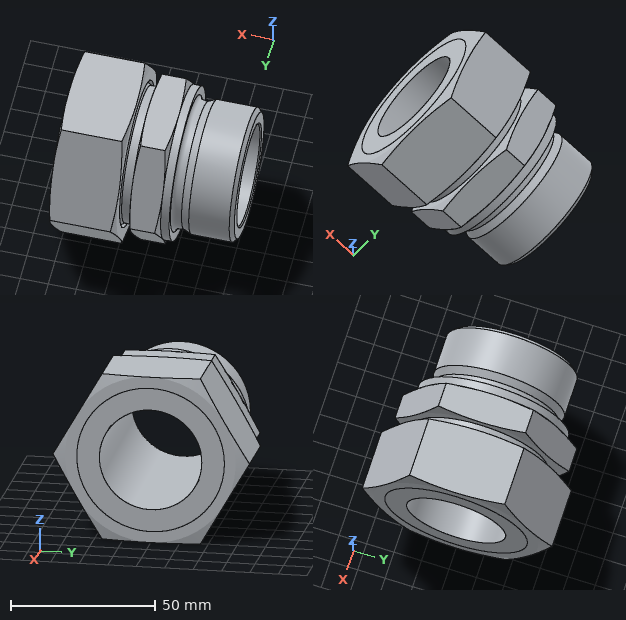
import cadquery as cq
import math


groove_cone_start = 15.85
groove_start = 18.7
flange_start = 21.95
hex_start = 25.0
hex_end = 36.0
thread_chamfer_start = 39.6
nut_start = 40.0
nut_end = 64.0

bore_radius = 18.0
bore_chamfer = 0.5
stud_radius = 23.9
stud_chamfer = 1.45
groove_radius = 22.7
groove_fillet = 1.8
dish_radius = 26.6
dish_angle = 8.0
neck_radius = 24.3
thread_radius = 26.0
thread_chamfer_angle = 30.0
nut_flats = 60.0
body_flats = 55.0
flange_radius = body_flats / 2
hex_chamfer_angle = 15.0


def tan_deg(angle):
    return math.tan(math.radians(angle))


def turned(outline):
    """Solid of revolution about X of a closed (x, radius) outline."""
    return outline.close().revolve(360, (0, 0, 0), (1, 0, 0))


def hex_prism(start, end, flats):
    """Hexagon along X with corners on +-Y, coned off at both ends down to its flats."""
    corner_radius = flats / math.sqrt(3)
    flat_radius = flats / 2
    cone_length = (corner_radius - flat_radius) * tan_deg(hex_chamfer_angle)
    prism = (
        cq.Workplane("YZ", origin=(start, 0, 0))
        .polygon(6, 2 * corner_radius)
        .extrude(end - start)
    )
    envelope = turned(
        cq.Workplane("XY")
        .moveTo(start, 0)
        .lineTo(start, flat_radius)
        .lineTo(start + cone_length, corner_radius)
        .lineTo(end - cone_length, corner_radius)
        .lineTo(end, flat_radius)
        .lineTo(end, 0)
    )
    return prism.intersect(envelope)


def make_stud():
    """Stud end with its groove, up to the flange with the dished sealing face."""
    fillet_sweep = math.radians(90 - dish_angle)
    slope = tan_deg(dish_angle)
    fillet_end_radius = groove_radius + groove_fillet * (1 - math.cos(fillet_sweep))
    fillet_end = flange_start + (dish_radius - fillet_end_radius) * slope
    fillet_start = fillet_end - groove_fillet * math.sin(fillet_sweep)
    fillet_middle = (
        fillet_start + groove_fillet * math.sin(fillet_sweep / 2),
        groove_radius + groove_fillet * (1 - math.cos(fillet_sweep / 2)),
    )
    return turned(
        cq.Workplane("XY")
        .lineTo(0, stud_radius - stud_chamfer)
        .lineTo(stud_chamfer, stud_radius)
        .lineTo(groove_cone_start, stud_radius)
        .lineTo(groove_start, groove_radius)
        .lineTo(fillet_start, groove_radius)
        .threePointArc(fillet_middle, (fillet_end, fillet_end_radius))
        .lineTo(flange_start, dish_radius)
        .lineTo(flange_start, flange_radius)
        .lineTo(hex_start, flange_radius)
        .lineTo(hex_start, 0)
    )


def make_threaded_end():
    """Neck behind the hexagon and the thread that carries the nut, as a plain cylinder."""
    chamfer_length = (thread_radius - neck_radius) / tan_deg(thread_chamfer_angle)
    return turned(
        cq.Workplane("XY")
        .moveTo(hex_end, 0)
        .lineTo(hex_end, neck_radius)
        .lineTo(thread_chamfer_start, neck_radius)
        .lineTo(thread_chamfer_start + chamfer_length, thread_radius)
        .lineTo(nut_end, thread_radius)
        .lineTo(nut_end, 0)
    )


def make_bore():
    """Through bore, chamfered at the stud end."""
    return turned(
        cq.Workplane("XY")
        .lineTo(0, bore_radius + bore_chamfer)
        .lineTo(bore_chamfer, bore_radius)
        .lineTo(nut_end, bore_radius)
        .lineTo(nut_end, 0)
    )


def make_fitting():
    wrench_hex = hex_prism(hex_start, hex_end, body_flats)
    return make_stud().union(wrench_hex).union(make_threaded_end()).cut(make_bore())


def make_nut():
    thread_hole = (
        cq.Workplane("YZ", origin=(nut_start, 0, 0))
        .circle(thread_radius)
        .extrude(nut_end - nut_start)
    )
    return hex_prism(nut_start, nut_end, nut_flats).cut(thread_hole)


fitting = make_fitting()
nut = make_nut()

result = cq.Compound.makeCompound([fitting.solids().val(), nut.solids().val()])